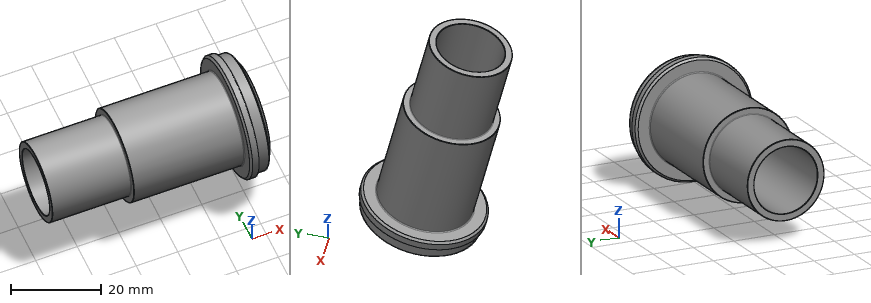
import cadquery as cq

length = 51.6
bore_diameter = 15.7
spigot_diameter = 19.05
body_diameter = 22.2
flange_diameter = 29.1
rim_diameter = 27.7
nose_root_diameter = 24.75
nose_shoulder_diameter = 23.85
nose_tip_diameter = 23.25

body_start = 19.0
flange_start = 45.6
flange_end = 47.7
rim_end = 50.6
nose_shoulder = 51.3

edge_chamfer = 0.1
flange_chamfer = 0.5
rim_chamfer = 0.3
body_root_fillet = 0.1
flange_root_fillet = 0.2


def cylinder(diameter, start, end):
    """Solid cylinder on the X axis between two axial positions."""
    return cq.Workplane("YZ").workplane(offset=start).circle(diameter / 2).extrude(end - start)


def root_fillet(diameter, shoulder, radius):
    """Ring with a concave round that fills the corner before a shoulder."""
    surface = diameter / 2
    overlap = radius
    middle = radius * 0.5 ** 0.5
    return (
        cq.Workplane("XY")
        .moveTo(shoulder - radius, surface)
        .threePointArc(
            (shoulder - radius + middle, surface + radius - middle),
            (shoulder, surface + radius),
        )
        .lineTo(shoulder + overlap, surface + radius)
        .lineTo(shoulder + overlap, surface - overlap)
        .lineTo(shoulder - radius, surface - overlap)
        .close()
        .revolve(360, (0, 0, 0), (1, 0, 0))
    )


def nose():
    """End nose: a shallow cone finished by a steeper bevel."""
    return (
        cq.Workplane("XY")
        .moveTo(flange_end, 0)
        .lineTo(flange_end, nose_root_diameter / 2)
        .lineTo(rim_end, nose_root_diameter / 2)
        .lineTo(nose_shoulder, nose_shoulder_diameter / 2)
        .lineTo(length, nose_tip_diameter / 2)
        .lineTo(length, 0)
        .close()
        .revolve(360, (0, 0, 0), (1, 0, 0))
    )


spigot = cylinder(spigot_diameter, 0, flange_start)
body = cylinder(body_diameter, body_start, flange_end).faces("<X").edges().chamfer(edge_chamfer)
flange = cylinder(flange_diameter, flange_start, flange_end).faces("<X").edges().chamfer(flange_chamfer)
rim = cylinder(rim_diameter, flange_start + flange_chamfer, rim_end).faces(">X").edges().chamfer(rim_chamfer)

result = (
    spigot.union(body)
    .union(flange)
    .union(rim)
    .union(nose())
    .union(root_fillet(spigot_diameter, body_start, body_root_fillet))
    .union(root_fillet(body_diameter, flange_start, flange_root_fillet))
    .cut(cylinder(bore_diameter, 0, length))
)

result = result.faces("<X").edges().chamfer(edge_chamfer)